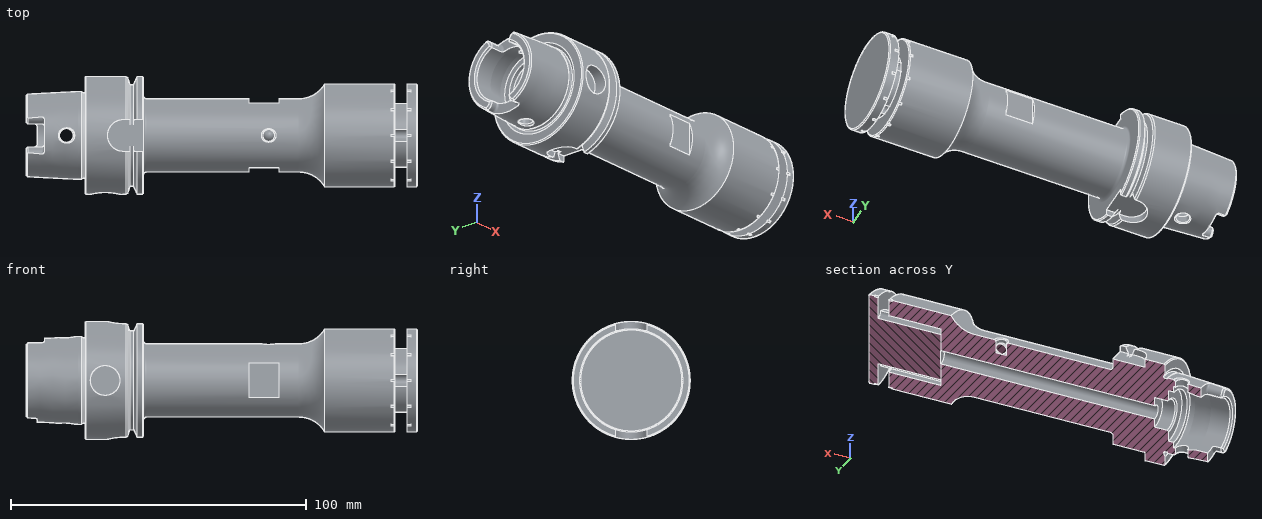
import cadquery as cq
import math

total_length = 132.4
flange_start = 19.9
flange_end = 39.7
cone_end = 101.0
holder_end = 124.9
collar_start = 128.8

taper_end_x = 17.6
taper_tip_radius = 14.0
taper_half_slope = 0.05
taper_big_radius = taper_tip_radius + taper_half_slope * taper_end_x
taper_tip_chamfer = 0.5
undercut_width = 1.0
undercut_depth = 0.4
face_groove_radius = 16.3
face_groove_depth = 0.5

cavity_diameter = 21.0
cavity_depth = 18.5
mouth_depth = 7.8
chamber_end = 16.5
chamber_radius = 11.9
chamber_start = 14.4
cavity_floor_radius = 9.8
cavity_chamfer = 0.7
counterbore_diameter = 12.5
counterbore_depth = 5.3
counterbore_chamfer = 0.5
coolant_diameter = 5.0

key_half_width = 3.8
key_lip_radius = 2.6
key_lip_top = 12.8
deep_key_length = 6.2
shallow_key_length = 3.7
key_end_fillet = 0.8
key_entry_chamfer = 0.7
key_entry_angle = 45.0

cross_hole_diameter = 4.6
cross_hole_chamfer = 0.5
cross_hole_x = 13.6

flange_radius = 20.0
flange_chamfer = 0.4
v_groove_start = 33.8
v_groove_floor_start = 35.2
v_groove_floor_end = 36.3
v_groove_end = 37.6
v_groove_rim_width = 0.7
v_groove_rim_drop = 0.4
v_groove_radius = 17.2
flange_fillet = 1.0

drive_slot_width = 10.7
drive_slot_floor = 16.8
drive_slot_start = 27.5
chip_pocket_diameter = 10.0
chip_pocket_depth = 4.6
chip_pocket_x = 26.7

shaft_radius = 12.5
flat_start = 75.5
flat_length = 10.0
flat_distance = 22.0
cone_fillet = 10.0
head_radius = 17.5
edge_chamfer = 0.4

notch_count = 12
notch_diameter = 0.8
notch_depth = 1.3

neck_radius = 11.0
neck_groove_count = 4
neck_groove_diameter = 4.0
socket_depth = 19.9

ball_diameter = 4.0
ball_hole_diameter = 4.0
ball_hole_chamfer = 0.5
ball_hole_x = 82.1
ball_recess = 1.0


def x_cylinder(radius, start, end, y=0.0, z=0.0):
    """Cylinder along X from start to end, with its axis at (y, z)."""
    return cq.Workplane("YZ", origin=(start, y, z)).circle(radius).extrude(end - start)


def holder_blank():
    """Turned outside of the holder: taper, flange, shaft, cone and head."""
    arc_turn = math.acos(1 - (head_radius - shaft_radius) / cone_fillet)
    arc_start_x = cone_end - cone_fillet * math.sin(arc_turn)
    arc_middle = (
        arc_start_x + cone_fillet * math.sin(arc_turn / 2),
        shaft_radius + cone_fillet * (1 - math.cos(arc_turn / 2)),
    )
    fillet_offset = flange_fillet * (1 - math.cos(math.pi / 4))
    undercut_start = flange_start - undercut_width
    undercut_radius = taper_big_radius - undercut_depth
    arc_offset = face_groove_depth * math.sin(math.pi / 4)
    return (
        cq.Workplane("XY")
        .moveTo(0, 0)
        .lineTo(0, taper_tip_radius - taper_tip_chamfer)
        .lineTo(taper_tip_chamfer, taper_tip_radius)
        .lineTo(taper_end_x, taper_big_radius)
        .lineTo(undercut_start, taper_big_radius)
        .lineTo(undercut_start + undercut_depth, undercut_radius)
        .lineTo(flange_start, undercut_radius)
        .threePointArc(
            (flange_start + arc_offset, undercut_radius + face_groove_depth - arc_offset),
            (flange_start + face_groove_depth, undercut_radius + face_groove_depth),
        )
        .lineTo(flange_start, face_groove_radius)
        .lineTo(flange_start, flange_radius - flange_chamfer)
        .lineTo(flange_start + flange_chamfer, flange_radius)
        .lineTo(v_groove_start, flange_radius)
        .lineTo(v_groove_start + v_groove_rim_width, flange_radius - v_groove_rim_drop)
        .lineTo(v_groove_floor_start, v_groove_radius)
        .lineTo(v_groove_floor_end, v_groove_radius)
        .lineTo(v_groove_end, flange_radius)
        .lineTo(flange_end - flange_chamfer, flange_radius)
        .lineTo(flange_end, flange_radius - flange_chamfer)
        .lineTo(flange_end, shaft_radius + flange_fillet)
        .threePointArc(
            (flange_end + fillet_offset, shaft_radius + fillet_offset),
            (flange_end + flange_fillet, shaft_radius),
        )
        .lineTo(arc_start_x, shaft_radius)
        .threePointArc(arc_middle, (cone_end, head_radius))
        .lineTo(holder_end - edge_chamfer, head_radius)
        .lineTo(holder_end, head_radius - edge_chamfer)
        .lineTo(holder_end, 0)
        .close()
        .revolve(360, (0, 0, 0), (1, 0, 0))
    )


def axial_bore():
    """Stepped cavity of the shank, coolant bore and the socket for the spindle."""
    bore_radius = cavity_diameter / 2
    counterbore_radius = counterbore_diameter / 2
    counterbore_end = cavity_depth + counterbore_depth
    socket_start = holder_end - socket_depth
    return (
        cq.Workplane("XY")
        .moveTo(0, 0)
        .lineTo(0, bore_radius + cavity_chamfer)
        .lineTo(cavity_chamfer, bore_radius)
        .lineTo(mouth_depth, bore_radius)
        .lineTo(chamber_start, chamber_radius)
        .lineTo(chamber_end, chamber_radius)
        .lineTo(chamber_end, cavity_floor_radius)
        .lineTo(cavity_depth, cavity_floor_radius)
        .lineTo(cavity_depth, counterbore_radius)
        .lineTo(cavity_depth + counterbore_chamfer, counterbore_radius - counterbore_chamfer)
        .lineTo(counterbore_end, counterbore_radius - counterbore_chamfer)
        .lineTo(counterbore_end, coolant_diameter / 2)
        .lineTo(socket_start, coolant_diameter / 2)
        .lineTo(socket_start, neck_radius)
        .lineTo(holder_end, neck_radius)
        .lineTo(holder_end, 0)
        .close()
        .revolve(360, (0, 0, 0), (1, 0, 0))
    )


def key_outline(start):
    """Closed outline of a key slot in the plane across X at start."""
    lip_center_y = key_half_width + key_lip_radius
    lip_center_z = key_lip_top - key_lip_radius
    arc_offset = key_lip_radius * math.cos(math.pi / 4)
    arc_y = lip_center_y - arc_offset
    arc_z = lip_center_z + arc_offset
    side_y = taper_big_radius
    return (
        cq.Workplane("YZ", origin=(start, 0, 0))
        .moveTo(-key_half_width, 0)
        .lineTo(key_half_width, 0)
        .lineTo(key_half_width, lip_center_z)
        .threePointArc((arc_y, arc_z), (lip_center_y, key_lip_top))
        .lineTo(side_y, key_lip_top)
        .lineTo(side_y, flange_radius)
        .lineTo(-side_y, flange_radius)
        .lineTo(-side_y, key_lip_top)
        .lineTo(-lip_center_y, key_lip_top)
        .threePointArc((-arc_y, arc_z), (-key_half_width, lip_center_z))
        .close()
    )


def key_slot(length):
    """Slot through the tip wall on the +Z side: rounded lips, filleted end and chamfered entry."""
    slot = key_outline(0).extrude(length).faces(">X").edges().fillet(key_end_fillet)
    entry = key_outline(key_entry_chamfer).extrude(-key_entry_chamfer, taper=-key_entry_angle)
    return slot.union(entry)


def countersunk_hole(x, floor_z, mouth_z, diameter, chamfer):
    """Radial hole on the +Z side from floor_z up, flared where it meets the surface at mouth_z."""
    radius = diameter / 2
    sink_bottom = mouth_z - chamfer
    profile = (
        cq.Workplane("XZ")
        .moveTo(0, floor_z)
        .lineTo(radius, floor_z)
        .lineTo(radius, sink_bottom)
        .lineTo(radius + chamfer, mouth_z)
        .lineTo(radius + chamfer, flange_radius)
        .lineTo(0, flange_radius)
        .close()
    )
    return profile.revolve(360, (0, 0, 0), (0, 1, 0)).translate((x, 0, 0))


def cross_hole():
    """Countersunk hole through the shank wall on the +Z side."""
    mouth_z = taper_tip_radius + taper_half_slope * cross_hole_x
    return countersunk_hole(cross_hole_x, 0, mouth_z, cross_hole_diameter, cross_hole_chamfer)


def drive_slot():
    """Round-ended slot across the flange on the +Z side, open toward the shaft."""
    slot_radius = drive_slot_width / 2
    center_x = drive_slot_start + slot_radius
    plane = cq.Workplane("XY", origin=(0, 0, drive_slot_floor))
    return (
        plane.moveTo(flange_end, -slot_radius)
        .lineTo(center_x, -slot_radius)
        .threePointArc((drive_slot_start, 0), (center_x, slot_radius))
        .lineTo(flange_end, slot_radius)
        .close()
        .extrude(flange_radius)
    )


def turned_to_minus_z(shape):
    """Copy of a cut, turned half a turn about X from the +Z side to the -Z side."""
    return shape.rotate((0, 0, 0), (1, 0, 0), 180)


def chip_pocket():
    """Round blind pocket on the -Y side of the flange."""
    return (
        cq.Workplane("XZ", origin=(chip_pocket_x, -(flange_radius - chip_pocket_depth), 0))
        .circle(chip_pocket_diameter / 2)
        .extrude(flange_radius)
    )


def wrench_flat(side):
    """Material removed for one wrench flat; side is +1 for +Y and -1 for -Y."""
    cut_depth = shaft_radius
    center = (flat_start + flat_length / 2, side * (flat_distance + cut_depth) / 2, 0)
    return cq.Workplane("XY").box(flat_length, cut_depth, 2 * shaft_radius).translate(center)


def notch_ring(start):
    """Half-round notches spread around the outer edge, from start along X."""
    ring = cq.Workplane("XY")
    for index in range(notch_count):
        angle = 2 * math.pi * index / notch_count
        y = head_radius * math.cos(angle)
        z = head_radius * math.sin(angle)
        ring = ring.add(x_cylinder(notch_diameter / 2, start, start + notch_depth, y, z))
    return ring.combine()


def ball_hole():
    """Countersunk blind hole on the +Z side of the shaft; the ball rests on its floor."""
    floor_z = shaft_radius - ball_recess - ball_diameter
    return countersunk_hole(ball_hole_x, floor_z, shaft_radius, ball_hole_diameter, ball_hole_chamfer)


def make_holder():
    body = holder_blank().cut(axial_bore())
    body = body.cut(key_slot(deep_key_length))
    body = body.cut(turned_to_minus_z(key_slot(shallow_key_length)))
    for side_cut in (cross_hole(), drive_slot()):
        body = body.cut(side_cut).cut(turned_to_minus_z(side_cut))
    body = body.cut(chip_pocket())
    for side in (1, -1):
        body = body.cut(wrench_flat(side))
    body = body.cut(ball_hole())
    return body.cut(notch_ring(holder_end - notch_depth))


def make_spindle():
    """Collar disc with a grooved neck that reaches into the socket of the holder."""
    neck_start = holder_end - socket_depth
    collar = x_cylinder(head_radius, collar_start, total_length)
    collar = collar.faces(">X").edges().chamfer(edge_chamfer)
    collar = collar.cut(notch_ring(collar_start))
    neck = x_cylinder(neck_radius, neck_start, collar_start)
    for index in range(neck_groove_count):
        angle = 2 * math.pi * index / neck_groove_count
        y = neck_radius * math.cos(angle)
        z = neck_radius * math.sin(angle)
        neck = neck.cut(x_cylinder(neck_groove_diameter / 2, neck_start, collar_start, y, z))
    return collar.union(neck)


def make_ball():
    center_z = shaft_radius - ball_recess - ball_diameter / 2
    return cq.Workplane("XY").sphere(ball_diameter / 2).translate((ball_hole_x, 0, center_z))


holder = make_holder()
spindle = make_spindle()
ball = make_ball()

result = cq.Compound.makeCompound([holder.val(), spindle.val(), ball.val()])